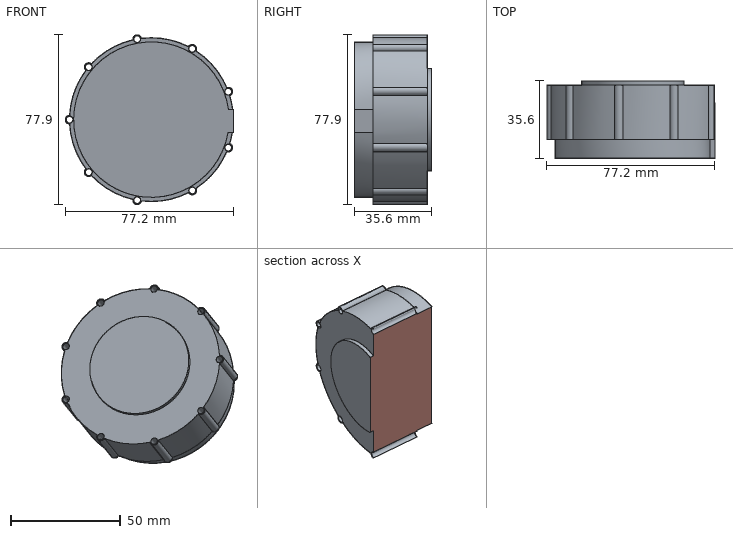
import cadquery as cq

cover_diameter = 71.3
cover_depth = 8.6
body_diameter = 75.2
body_depth = 25.0
rear_disc_diameter = 47.0
rear_disc_depth = 1.95

tube_count = 9
tube_diameter = 4.0
tube_hole_diameter = 3.0
tube_circle_radius = 37.5
first_tube_angle = 180

tab_reach = 37.75
tab_width = 10.75
tab_center_height = -0.6

body_front = cover_depth
body_rear = body_front + body_depth


def cylinder_along_y(diameter, front, depth):
    """Solid cylinder on the housing axis, from `front` towards +Y."""
    plane = cq.Workplane("XZ", origin=(0, front, 0))
    return plane.circle(diameter / 2).extrude(-depth)


def tube_cylinders(diameter):
    """One cylinder per screw tube, as long as the body."""
    return (
        cq.Workplane("XZ", origin=(0, body_front, 0))
        .polarArray(tube_circle_radius, first_tube_angle, 360, tube_count)
        .circle(diameter / 2)
        .extrude(-body_depth)
    )


cover = cylinder_along_y(cover_diameter, 0, cover_depth)
body = cylinder_along_y(body_diameter, body_front, body_depth)
rear_disc = cylinder_along_y(rear_disc_diameter, body_rear, rear_disc_depth)

tab = cq.Workplane("XY", origin=(0, 0, tab_center_height)).box(
    tab_reach, cover_depth, tab_width, centered=(False, False, True)
)

housing = cover.union(body).union(rear_disc).union(tab)
result = housing.union(tube_cylinders(tube_diameter)).cut(tube_cylinders(tube_hole_diameter))